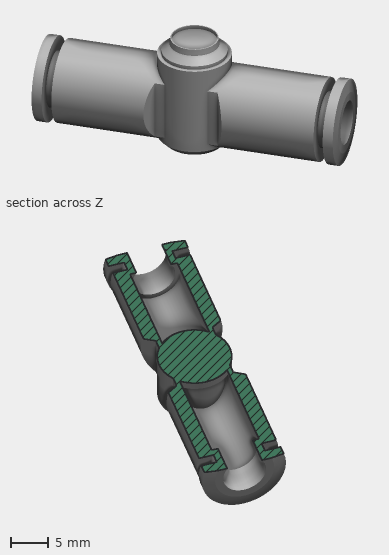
import cadquery as cq

overall_length = 42.4

tube_diameter = 11.5
tube_length = 36.45
neck_diameter = 7.7
collar_diameter = 11.8
collar_width = 1.65
collar_cone_depth = 0.25
collar_face_diameter = 8.3
bore_diameter = 6.0
bore_mouth_depth = 4.0
relief_diameter = 7.5

lower_core_diameter = 8.9
core_step_height = 0.7

body_diameter = 10.0
body_top = 7.35
body_bottom = -6.15
bottom_chamfer = 1.0

cap_top = 9.7
cap_base_diameter = 8.9
cap_base_height = 0.5
knob_height = 0.9
knob_base_diameter = 6.7
knob_top_diameter = 6.5
recess_diameter = 6.2
recess_depth = 0.5

flat_spacing = 8.0
flat_length = 8.75
flat_end_run = 1.05

half_length = overall_length / 2
tube_radius = tube_diameter / 2
body_radius = body_diameter / 2


def make_run():
    """Solid of revolution about X: tube, necks and cone-faced collars."""
    half_tube = tube_length / 2
    collar_inner = half_length - collar_width
    collar_edge = half_length - collar_cone_depth
    neck_radius = neck_diameter / 2
    collar_radius = collar_diameter / 2
    right_profile = [
        (half_tube, tube_radius),
        (half_tube, neck_radius),
        (collar_inner, neck_radius),
        (collar_inner, collar_radius),
        (collar_edge, collar_radius),
        (half_length, collar_face_diameter / 2),
        (half_length, 0),
    ]
    left_profile = [(-x, radius) for x, radius in reversed(right_profile)]
    profile = cq.Workplane("XY").polyline(left_profile + right_profile).close()
    return profile.revolve(360, (0, 0, 0), (1, 0, 0))


def make_flat_cutter(side):
    """Notch with sloping ends, on the +Y (side = 1) or -Y (side = -1) face of the tube."""
    flat_y = flat_spacing / 2
    half_flat = flat_length / 2
    half_mouth = half_flat + flat_end_run
    outline = [
        (-half_flat, side * flat_y),
        (half_flat, side * flat_y),
        (half_mouth, side * tube_radius),
        (-half_mouth, side * tube_radius),
    ]
    return cq.Workplane("XY").polyline(outline).close().extrude(tube_radius, both=True)


def make_bores():
    """Blind bores from both ends, wider behind the mouth, whose floors are a stepped round core."""
    relief_reach = half_length - bore_mouth_depth
    mouths = cq.Workplane("YZ").circle(bore_diameter / 2).extrude(half_length, both=True)
    reliefs = cq.Workplane("YZ").circle(relief_diameter / 2).extrude(relief_reach, both=True)
    core_profile = [
        (0, -tube_radius),
        (lower_core_diameter / 2, -tube_radius),
        (lower_core_diameter / 2, core_step_height),
        (body_radius, core_step_height),
        (body_radius, tube_radius),
        (0, tube_radius),
    ]
    core = cq.Workplane("XZ").polyline(core_profile).close().revolve(360, (0, 0, 0), (0, 1, 0))
    return mouths.union(reliefs).cut(core)


def make_body():
    """Upright body about Z with its chamfered foot and recessed cap."""
    knob_bottom = cap_top - knob_height
    profile = [
        (0, body_bottom),
        (body_radius - bottom_chamfer, body_bottom),
        (body_radius, body_bottom + bottom_chamfer),
        (body_radius, body_top),
        (cap_base_diameter / 2, body_top),
        (cap_base_diameter / 2, body_top + cap_base_height),
        (knob_base_diameter / 2, knob_bottom),
        (knob_top_diameter / 2, cap_top),
        (recess_diameter / 2, cap_top),
        (recess_diameter / 2, cap_top - recess_depth),
        (0, cap_top - recess_depth),
    ]
    return cq.Workplane("XZ").polyline(profile).close().revolve(360, (0, 0, 0), (0, 1, 0))


run = make_run()
for side in (1, -1):
    run = run.cut(make_flat_cutter(side))

result = run.union(make_body()).cut(make_bores())